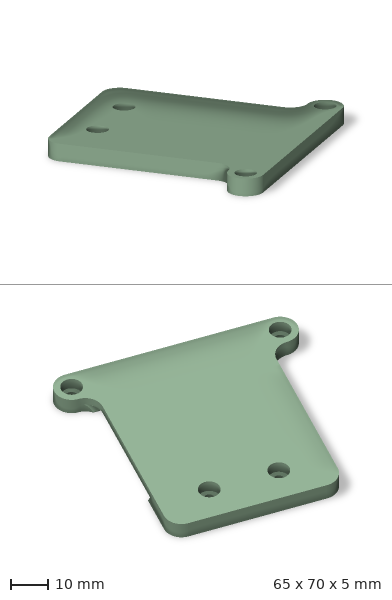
import cadquery as cq
import math

overall_x = 65.0
overall_y = 70.0
thickness = 5.0
body_width = 50.0
body_half_y = body_width / 2
ear_radius = (overall_y - body_width) / 4
corner_radius = ear_radius
ear_x = overall_x - ear_radius
ear_y = overall_y / 2 - ear_radius

hole_diameter = 3.2
counterbore_diameter = 6.1
counterbore_depth = 3.5
left_hole_x = 10.0
left_hole_y = 10.0

slot_depth = 2.5
slot_lip_height = 0.2
slot_wall_angle = math.radians(60)
slot_to_ear_hole = 5.25
slot_end_wall = 5.0
slot_center_x = (left_hole_x + ear_x) / 2
slot_roof_half_width = ear_x - slot_to_ear_hole - slot_center_x
slot_mouth_half_width = slot_roof_half_width - (slot_depth - slot_lip_height) / math.tan(slot_wall_angle)
slot_end_y = -body_half_y + slot_end_wall


def plate():
    """Flat plate whose right edge ends in two round ears, blended by concave arcs."""
    diagonal = ear_radius * math.sqrt(0.5)
    neck_x = ear_x - ear_radius
    blend_x = neck_x - ear_radius
    outline = (
        cq.Workplane("XY")
        .moveTo(0, -body_half_y)
        .lineTo(blend_x, -body_half_y)
        .threePointArc((blend_x + diagonal, -ear_y + diagonal), (neck_x, -ear_y))
        .threePointArc((ear_x, -overall_y / 2), (overall_x, -ear_y))
        .lineTo(overall_x, ear_y)
        .threePointArc((ear_x, overall_y / 2), (neck_x, ear_y))
        .threePointArc((blend_x + diagonal, ear_y - diagonal), (blend_x, body_half_y))
        .lineTo(0, body_half_y)
        .close()
    )
    return outline.extrude(thickness).edges("|Z and <X").fillet(corner_radius)


def drill_screw_holes(body):
    """Two holes near the left edge and one in each ear, counterbored from the top."""
    centers = []
    for side in (-1, 1):
        centers.append((left_hole_x, side * left_hole_y))
        centers.append((ear_x, side * ear_y))
    return (
        body.faces(">Z")
        .workplane(origin=(0, 0, thickness))
        .pushPoints(centers)
        .cboreHole(hole_diameter, counterbore_diameter, counterbore_depth)
    )


def dovetail_slot():
    """Prism along Y, wider at its roof than at its mouth, with a short upright lip at the mouth."""
    profile = [
        (slot_center_x - slot_mouth_half_width, 0),
        (slot_center_x + slot_mouth_half_width, 0),
        (slot_center_x + slot_mouth_half_width, slot_lip_height),
        (slot_center_x + slot_roof_half_width, slot_depth),
        (slot_center_x - slot_roof_half_width, slot_depth),
        (slot_center_x - slot_mouth_half_width, slot_lip_height),
    ]
    slot_length = ear_y - slot_end_y
    return (
        cq.Workplane("XZ", origin=(0, slot_end_y, 0))
        .polyline(profile)
        .close()
        .extrude(-slot_length)
    )


result = drill_screw_holes(plate()).cut(dovetail_slot())